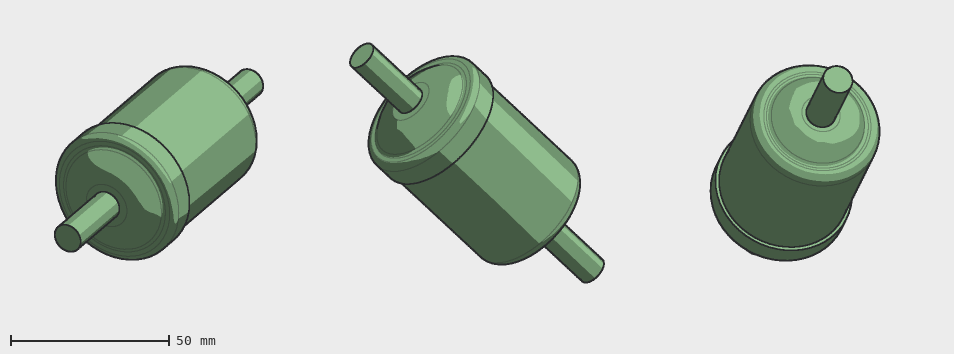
import cadquery as cq
import math

total_length = 117.0
tube_diameter = 9.5
shell_diameter = 42.0
collar_diameter = 44.3

crown_offset = 33.7
collar_shoulder_offset = 28.7
collar_step_offset = 19.5
shell_shoulder_offset = 28.4

collar_edge_radius = 2.1
shell_edge_radius = 3.6

front_flat_radius = 7.4
front_dome_radius = 13.3
front_blend_radius = 1.5
rear_flat_radius = 6.2
rear_dome_radius = 11.0
rear_blend_radius = 1.8


def cylinder(diameter, y_start, y_end):
    """Solid cylinder on the Y axis between two stations."""
    length = y_end - y_start
    return cq.Workplane("XZ", origin=(0, y_start, 0)).circle(diameter / 2).extrude(-length)


def dome(shoulder_offset, flat_radius, dome_radius, blend_radius, direction):
    """Domed end from the middle plane to the crown; direction is +1 or -1 along Y."""
    dome_center = crown_offset - dome_radius
    blend_center = shoulder_offset + blend_radius
    tangent_angle = math.acos((blend_center - dome_center) / (dome_radius + blend_radius))
    blend_center_radius = flat_radius + (dome_radius + blend_radius) * math.sin(tangent_angle)

    def dome_point(angle):
        radius = flat_radius + dome_radius * math.sin(angle)
        return radius, direction * (dome_center + dome_radius * math.cos(angle))

    def blend_point(angle):
        radius = blend_center_radius - blend_radius * math.sin(angle)
        return radius, direction * (blend_center - blend_radius * math.cos(angle))

    return (
        cq.Workplane("XY")
        .lineTo(0, direction * crown_offset)
        .lineTo(flat_radius, direction * crown_offset)
        .threePointArc(dome_point(tangent_angle / 2), dome_point(tangent_angle))
        .threePointArc(blend_point(tangent_angle / 2), blend_point(0))
        .lineTo(blend_center_radius, 0)
        .close()
        .revolve(360, (0, 0, 0), (0, 1, 0))
    )


shell = cylinder(shell_diameter, -collar_step_offset, shell_shoulder_offset)
shell = shell.faces(">Y").edges().fillet(shell_edge_radius)

collar = cylinder(collar_diameter, -collar_shoulder_offset, -collar_step_offset)
collar = collar.faces("<Y").edges().fillet(collar_edge_radius)

front_dome = dome(collar_shoulder_offset, front_flat_radius, front_dome_radius, front_blend_radius, -1)
rear_dome = dome(shell_shoulder_offset, rear_flat_radius, rear_dome_radius, rear_blend_radius, 1)

tubes = cylinder(tube_diameter, -total_length / 2, total_length / 2)

result = shell.union(collar).union(front_dome).union(rear_dome).union(tubes)